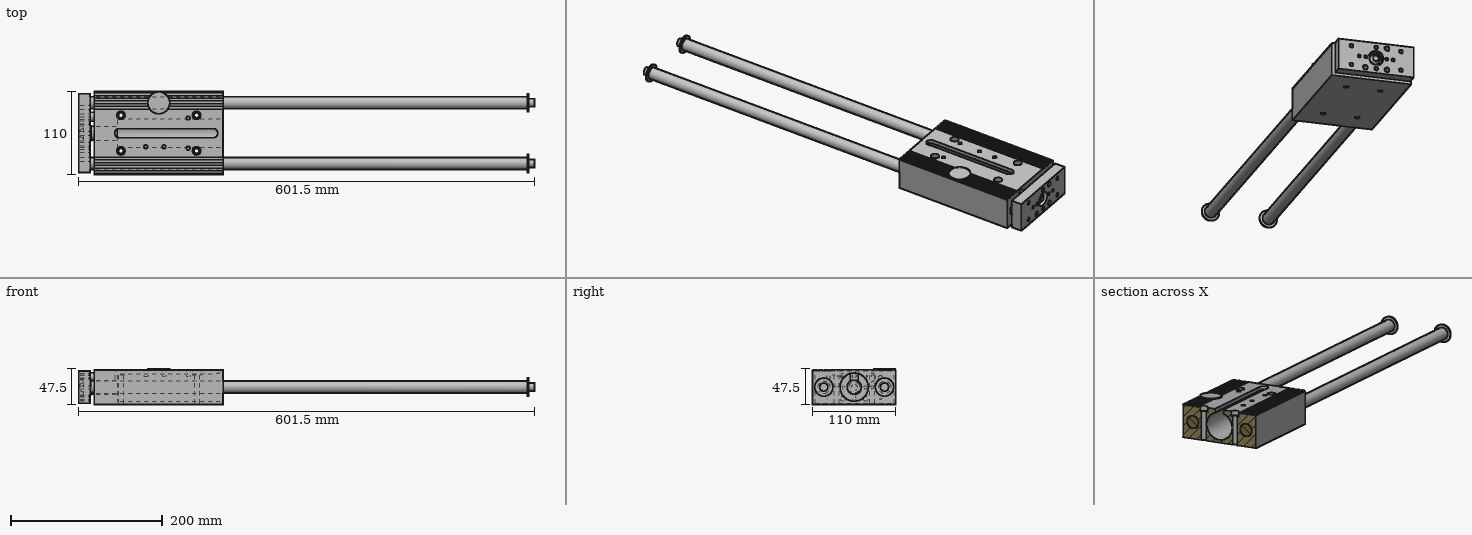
import cadquery as cq

HOUSING_START = 20.5
HOUSING_LENGTH = 170.0
HOUSING_WIDTH = 110.0
HOUSING_HEIGHT = 46.5
HOUSING_CENTRE = HOUSING_START + HOUSING_LENGTH / 2
HOUSING_END = HOUSING_START + HOUSING_LENGTH
TOP = HOUSING_HEIGHT / 2

GROOVES_PER_SIDE = 3
GROOVE_WIDTH = 3.5
LAND_WIDTH = GROOVE_WIDTH
GROOVE_PITCH = GROOVE_WIDTH + LAND_WIDTH
GROOVE_DEPTH = 1.0
EDGE_STEP_WIDTH = 2.0

CAP_DIAMETER = 29.0
CAP_HEIGHT = 1.0

BORE_DIAMETER = 37.0
BORE_START = 50.5
SLOT_START = 47.5
SLOT_END = 183.5
SLOT_WIDTH = 12.0

SCREW_SPACING_X = 100.0
SCREW_SPACING_Y = 47.0
SCREW_DIAMETER = 6.5
SCREW_HEAD_DIAMETER = 11.0
SCREW_HEAD_DEPTH = 6.5
SMALL_HOLE_DIAMETER = 4.95
SMALL_HOLE_DEPTH = 9.0
SMALL_HOLES = [(144.5, 20.0), (144.5, -20.0), (88.5, -18.0), (112.5, -18.0)]

OVERALL_LENGTH = 601.5
ROD_DIAMETER = 16.0
ROD_SPACING = 80.0
ROD_Y = ROD_SPACING / 2
FLANGE_DIAMETER = 24.0
FLANGE_THICKNESS = 2.0
TIP_DIAMETER = 11.0
TIP_LENGTH = 8.0
ROD_END = OVERALL_LENGTH - TIP_LENGTH - FLANGE_THICKNESS

PLATE_THICKNESS = 15.0
PLATE_WIDTH = 104.0
PLATE_HEIGHT = 43.0
PISTON_ROD_DIAMETER = 18.5
RECESS_DIAMETER = 20.0
RECESS_DEPTH = 6.0
NOSE_BASE_DIAMETER = 14.5
NOSE_TIP_DIAMETER = 8.0
NOSE_LENGTH = 5.0
COLLAR_DIAMETER = RECESS_DIAMETER
COLLAR_LENGTH = 1.0

STOP_DIAMETER = 12.0
STOP_Y = 21.5
STOP_Z = 13.0

PLATE_HOLES = [
    (5.1, [(34.0, 13.0), (-34.0, 13.0), (34.0, -13.0), (-34.0, -13.0), (0, 15.0), (0, -15.0)]),
    (6.5, [(-15.0, 15.0), (15.0, -15.0), (-15.0, -15.0)]),
    (4.15, [(23.5, 0), (14.5, 0), (-14.5, 0), (-23.5, 0)]),
]


def rod_along_x(start, end, diameter, y=0.0, z=0.0):
    """A cylinder along X from start to end, at the given Y and Z."""
    return cq.Workplane("YZ", origin=(start, y, z)).circle(diameter / 2).extrude(end - start)


def groove_cutter(y, width):
    """A bar along the housing's top face that cuts a groove of the given width centred at y."""
    outline = cq.Workplane("XY", origin=(HOUSING_CENTRE, y, TOP)).rect(HOUSING_LENGTH, width)
    return outline.extrude(-GROOVE_DEPTH)


def cut_grooves(body):
    """Lowers both long top edges by a step and cuts the parallel grooves beside them."""
    half_width = HOUSING_WIDTH / 2
    first_groove = half_width - EDGE_STEP_WIDTH - LAND_WIDTH - GROOVE_WIDTH / 2
    for side in (1, -1):
        body = body.cut(groove_cutter(side * (half_width - EDGE_STEP_WIDTH / 2), EDGE_STEP_WIDTH))
        for i in range(GROOVES_PER_SIDE):
            body = body.cut(groove_cutter(side * (first_groove - i * GROOVE_PITCH), GROOVE_WIDTH))
    return body


def make_housing():
    """Grooved block with its cap, slot, holes, central bore and guide rod bores."""
    body = cq.Workplane().box(HOUSING_LENGTH, HOUSING_WIDTH, HOUSING_HEIGHT)
    body = cut_grooves(body.translate((HOUSING_CENTRE, 0, 0)))

    cap_base = TOP - GROOVE_DEPTH
    cap = cq.Workplane("XY", origin=(HOUSING_CENTRE, ROD_Y, cap_base)).circle(CAP_DIAMETER / 2)
    body = body.union(cap.extrude(GROOVE_DEPTH + CAP_HEIGHT))

    slot = cq.Workplane("XY", origin=((SLOT_START + SLOT_END) / 2, 0, TOP))
    slot = slot.slot2D(SLOT_END - SLOT_START, SLOT_WIDTH)
    body = body.cut(slot.extrude(-TOP))

    screws = cq.Workplane("XY", origin=(HOUSING_CENTRE, 0, TOP))
    screws = screws.rarray(SCREW_SPACING_X, SCREW_SPACING_Y, 2, 2)
    body = body.cut(screws.circle(SCREW_DIAMETER / 2).extrude(-HOUSING_HEIGHT))
    body = body.cut(screws.circle(SCREW_HEAD_DIAMETER / 2).extrude(-SCREW_HEAD_DEPTH))

    small_holes = cq.Workplane("XY", origin=(0, 0, TOP)).pushPoints(SMALL_HOLES)
    body = body.cut(small_holes.circle(SMALL_HOLE_DIAMETER / 2).extrude(-SMALL_HOLE_DEPTH))

    body = body.cut(rod_along_x(BORE_START, HOUSING_END, BORE_DIAMETER))
    body = body.cut(rod_along_x(HOUSING_START, BORE_START, PISTON_ROD_DIAMETER))
    for y in (ROD_Y, -ROD_Y):
        body = body.cut(rod_along_x(HOUSING_START, HOUSING_END, ROD_DIAMETER, y))
    return body


def make_slide():
    """Front plate with its piston rod, stop pin and two flanged guide rods."""
    plate = cq.Workplane().box(PLATE_THICKNESS, PLATE_WIDTH, PLATE_HEIGHT)
    body = plate.translate((PLATE_THICKNESS / 2, 0, 0))

    for diameter, places in PLATE_HOLES:
        holes = cq.Workplane("YZ").pushPoints(places).circle(diameter / 2)
        body = body.cut(holes.extrude(PLATE_THICKNESS))
    body = body.cut(rod_along_x(0, RECESS_DEPTH, RECESS_DIAMETER))
    nose = cq.Workplane("YZ", origin=(RECESS_DEPTH, 0, 0)).circle(NOSE_BASE_DIAMETER / 2)
    nose = nose.workplane(offset=-NOSE_LENGTH).circle(NOSE_TIP_DIAMETER / 2).loft()
    body = body.union(nose)

    body = body.union(rod_along_x(PLATE_THICKNESS, BORE_START, PISTON_ROD_DIAMETER))
    collar = rod_along_x(PLATE_THICKNESS, PLATE_THICKNESS + COLLAR_LENGTH, COLLAR_DIAMETER)
    body = body.union(collar)
    body = body.union(rod_along_x(PLATE_THICKNESS, HOUSING_START, STOP_DIAMETER, STOP_Y, STOP_Z))
    for y in (ROD_Y, -ROD_Y):
        body = body.union(rod_along_x(PLATE_THICKNESS, ROD_END, ROD_DIAMETER, y))
        body = body.union(rod_along_x(ROD_END, ROD_END + FLANGE_THICKNESS, FLANGE_DIAMETER, y))
        body = body.union(rod_along_x(ROD_END, OVERALL_LENGTH, TIP_DIAMETER, y))
    return body


housing = make_housing()
slide = make_slide()
result = cq.Compound.makeCompound([housing.val(), slide.val()])